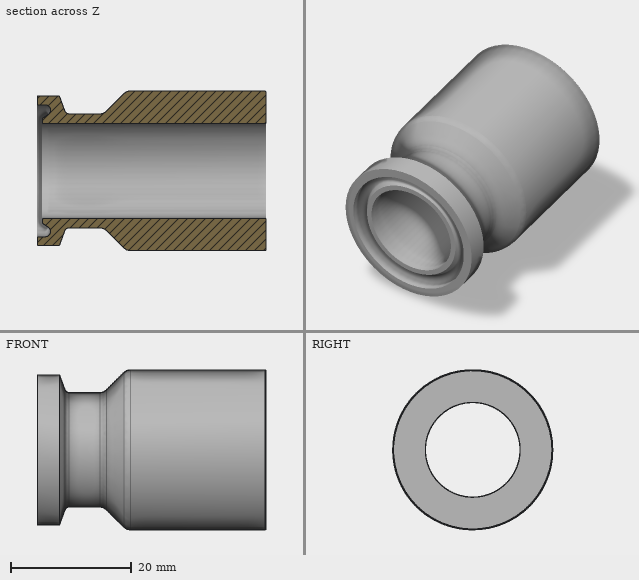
import cadquery as cq
import math

length = 38.1
body_radius = 26.67 / 2
neck_radius = 19.05 / 2
flange_radius = 25.0 / 2
bore_radius = 15.75 / 2
end_chamfer = 0.15

flange_rim_width = 3.7
flange_back_angle = math.radians(20)
flange_root_fillet = 0.75

shoulder_end = 14.85
shoulder_fillet = 1.5

seat_radius = 21.9 / 2
land_depth = 0.8
land_radius = 8.75
groove_wall_depth = 1.35
groove_round = 0.85
groove_cone_angle = math.radians(35)

flange_back_end = flange_rim_width + (flange_radius - neck_radius) * math.tan(flange_back_angle)
shoulder_start = shoulder_end - (body_radius - neck_radius)


def revolve_about_x(profile):
    return profile.close().revolve(360, (0, 0, 0), (1, 0, 0))


def circle_at(x, radius):
    """Select the circular edge of a given radius at a given place along X."""
    tolerance = 0.005
    reach = radius + tolerance
    return cq.selectors.BoxSelector(
        (x - tolerance, -reach, -reach), (x + tolerance, reach, reach), boundingbox=True
    )


def make_outer_body():
    profile = (
        cq.Workplane("XY")
        .lineTo(0, flange_radius)
        .lineTo(flange_rim_width, flange_radius)
        .lineTo(flange_back_end, neck_radius)
        .lineTo(shoulder_start, neck_radius)
        .lineTo(shoulder_end, body_radius)
        .lineTo(length, body_radius)
        .lineTo(length, 0)
    )
    body = revolve_about_x(profile)
    body = body.edges(circle_at(flange_back_end, neck_radius)).fillet(flange_root_fillet)
    body = body.edges(circle_at(shoulder_start, neck_radius)).fillet(shoulder_fillet)
    body = body.edges(circle_at(shoulder_end, body_radius)).fillet(shoulder_fillet)
    return body.edges(circle_at(length, body_radius)).chamfer(end_chamfer)


def make_gasket_seat():
    """Cutter with a round-bottomed groove around a shallower flat land."""
    round_center = seat_radius - groove_round
    cone_foot_radius = round_center - groove_round * math.cos(groove_cone_angle)
    cone_foot_depth = groove_wall_depth + groove_round * math.sin(groove_cone_angle)
    profile = (
        cq.Workplane("XY")
        .lineTo(0, seat_radius)
        .lineTo(groove_wall_depth, seat_radius)
        .threePointArc((groove_wall_depth + groove_round, round_center), (cone_foot_depth, cone_foot_radius))
        .lineTo(land_depth, land_radius)
        .lineTo(land_depth, 0)
    )
    return revolve_about_x(profile)


def make_bore():
    return cq.Workplane("YZ").circle(bore_radius).extrude(length)


result = make_outer_body().cut(make_gasket_seat()).cut(make_bore())